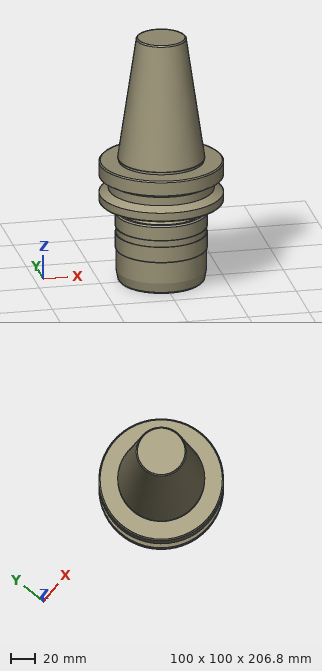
import cadquery as cq

total_height = 206.8
gauge_z = 105.0
flange_top_z = 102.0
flange_bottom_z = 67.2

taper_half_slope = 7 / 48
gauge_radius = 35.0
taper_top_radius = gauge_radius - (total_height - gauge_z) * taper_half_slope
taper_top_chamfer = 1.0
gauge_land_bottom_z = 104.0
taper_root_radius = 34.3

flange_radius = 50.0
flange_chamfer = 1.0
groove_root_radius = 42.5
groove_upper_edge_z = 89.8
groove_root_top_z = 85.6
groove_root_bottom_z = 78.5
groove_lower_edge_z = 74.9

neck_radius = 31.5
neck_bottom_z = 61.8
shoulder_top_z = 61.0
shoulder_top_radius = 32.5
shoulder_bottom_radius = 33.7
shoulder_bottom_z = 59.0

nut_radius = 37.0
nut_chamfer = 1.2
band_radius = 36.5
band_top_z = 46.3
band_bottom_z = 40.7
nut_step_top_z = 28.0
nut_step_bottom_z = 27.3
nose_top_z = 9.3
nose_radius = 35.0
nose_chamfer = 1.5


def taper_profile():
    """Outer (radius, z) points of the taper, from its small end down."""
    return [
        (taper_top_radius - taper_top_chamfer, total_height),
        (taper_top_radius, total_height - taper_top_chamfer),
        (gauge_radius, gauge_z),
        (gauge_radius, gauge_land_bottom_z),
        (taper_root_radius, gauge_land_bottom_z),
        (taper_root_radius, flange_top_z),
    ]


def flange_profile():
    """Outer points of the grooved flange, from top to bottom."""
    return [
        (flange_radius - flange_chamfer, flange_top_z),
        (flange_radius, flange_top_z - flange_chamfer),
        (flange_radius, groove_upper_edge_z),
        (groove_root_radius, groove_root_top_z),
        (groove_root_radius, groove_root_bottom_z),
        (flange_radius, groove_lower_edge_z),
        (flange_radius, flange_bottom_z + flange_chamfer),
        (flange_radius - flange_chamfer, flange_bottom_z),
    ]


def neck_profile():
    """Outer points of the neck and its shoulder, from top to bottom."""
    return [
        (neck_radius, flange_bottom_z),
        (neck_radius, neck_bottom_z),
        (shoulder_top_radius, shoulder_top_z),
        (shoulder_bottom_radius, shoulder_bottom_z),
    ]


def nut_profile():
    """Outer points of the clamping nut, from its top down to the nose."""
    return [
        (nut_radius - nut_chamfer, shoulder_bottom_z),
        (nut_radius, shoulder_bottom_z - nut_chamfer),
        (nut_radius, band_top_z),
        (band_radius, band_top_z),
        (band_radius, band_bottom_z),
        (nut_radius, band_bottom_z),
        (nut_radius, nut_step_top_z),
        (band_radius, nut_step_bottom_z),
        (band_radius, nose_top_z),
        (nose_radius, nose_chamfer),
        (nose_radius - nose_chamfer, 0),
    ]


outer_profile = taper_profile() + flange_profile() + neck_profile() + nut_profile()
half_section = [(0, total_height)] + outer_profile + [(0, 0)]
result = cq.Workplane("XZ").polyline(half_section).close().revolve(360, (0, 0), (0, 1))